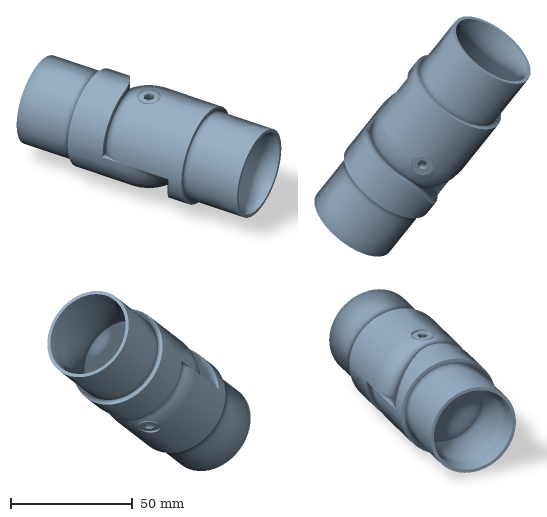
import cadquery as cq
import math

length = 103.0
collar_diameter = 42.4
collar_length = 53.0
tube_diameter = 38.3
bore_diameter = 35.4
bore_depth = 28.8

wall_offset = 10.4
swing_angle = 30.0
slant_end = 20.7
blend_radius = 22.7

recess_diameter = 9.7
head_diameter = 8.7
recess_depth = 0.9
head_drop = 0.5
hex_corner_diameter = 4.6
hex_depth = 3.1

collar_radius = collar_diameter / 2


def cylinder_along_x(diameter, start, end):
    return cq.Workplane("YZ", origin=(start, 0, 0)).circle(diameter / 2).extrude(end - start)


def upper_relief():
    """Space above the split plane on the -X side, around the spherical tongue."""
    tilt = math.radians(swing_angle)
    corner_y = collar_radius - (slant_end - wall_offset) / math.tan(tilt)
    tangent_length = blend_radius * math.tan(tilt / 2)
    blend_start_y = corner_y - tangent_length
    blend_mid = (
        -wall_offset - blend_radius * (1 - math.cos(tilt / 2)),
        blend_start_y + blend_radius * math.sin(tilt / 2),
    )
    blend_end = (
        -wall_offset - tangent_length * math.sin(tilt),
        corner_y + tangent_length * math.cos(tilt),
    )
    pocket = (
        cq.Workplane("XY")
        .moveTo(0, -collar_radius)
        .lineTo(-wall_offset, -collar_radius)
        .lineTo(-wall_offset, blend_start_y)
        .threePointArc(blend_mid, blend_end)
        .lineTo(-slant_end, collar_radius)
        .lineTo(0, collar_radius)
        .close()
        .extrude(collar_radius)
    )
    tongue = cq.Workplane("XY").sphere(collar_radius)
    return pocket.cut(tongue)


def upper_screw_cut():
    """Recess around the screw head, and the hex socket in the head."""
    head_top = collar_radius - head_drop
    recess_floor = collar_radius - recess_depth
    recess = (
        cq.Workplane("XY", origin=(0, 0, recess_floor))
        .circle(recess_diameter / 2)
        .extrude(recess_depth)
    )
    head = (
        cq.Workplane("XY", origin=(0, 0, recess_floor))
        .circle(head_diameter / 2)
        .extrude(head_top - recess_floor)
    )
    socket = (
        cq.Workplane("XY", origin=(0, 0, head_top))
        .polygon(6, hex_corner_diameter)
        .extrude(-hex_depth)
    )
    return recess.cut(head).union(socket)


def point_reflected(shape):
    """Reflect through the pivot centre: half a turn about Z, then a mirror in Z."""
    return shape.rotate((0, 0, 0), (0, 0, 1), 180).mirror("XY")


body = cylinder_along_x(tube_diameter, -length / 2, length / 2)
body = body.union(cylinder_along_x(collar_diameter, -collar_length / 2, collar_length / 2))

for side in (-1, 1):
    mouth = side * length / 2
    body = body.cut(cylinder_along_x(bore_diameter, mouth, mouth - side * bore_depth))

for feature in (upper_relief(), upper_screw_cut()):
    body = body.cut(feature).cut(point_reflected(feature))

result = body